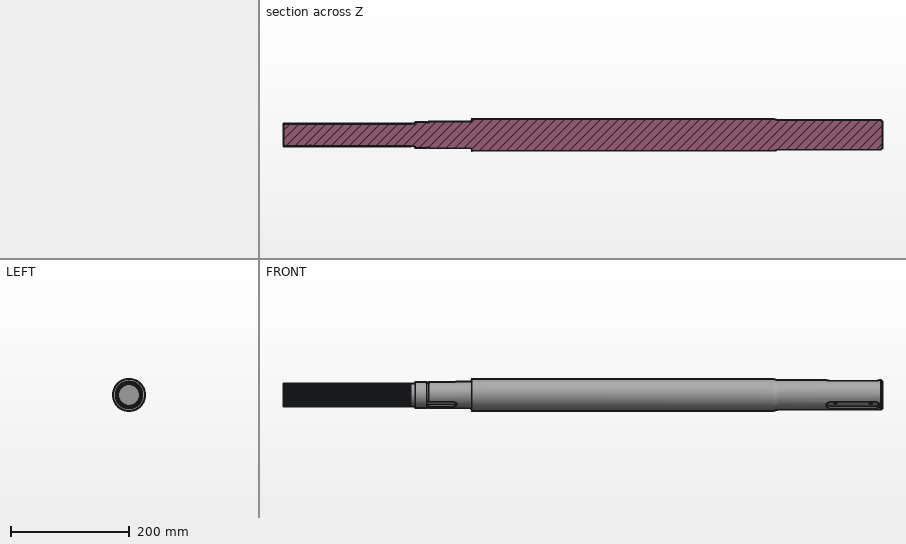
import cadquery as cq
import math

length = 1010.0

thread_diameter = 39.0
thread_root_diameter = 36.0
thread_pitch = 1.5
thread_turns = 142
thread_end = thread_turns * thread_pitch

collar_start = 222.0
collar_diameter = 44.0
groove_start = 241.0
groove_end = 245.0
groove_diameter = 42.0

journal_diameter = 45.0
shoulder_fillet = 2.0
body_start = 317.0
body_end = 825.0
body_diameter = 55.0
cone_end = 833.0
drive_diameter = 50.0
end_chamfer = 3.0

second_key_angle = 135
cutter_height = body_diameter / 2

journal_key_start = groove_start
journal_key_end = 292.0
journal_key_width = 11.0
journal_key_floor = 18.0

collar_slot_width = 4.0
collar_slot_floor = 20.0

drive_key_start = 915.0
drive_key_end = 1005.0
drive_key_width = 15.0
drive_key_floor = 19.0
screw_hole_diameter = 4.9
screw_hole_spacing = 60.0
screw_hole_depth = 10.0


def turned_shaft():
    """Revolve the half outline of the shaft, seen as radius over X."""
    crest = thread_diameter / 2
    root = thread_root_diameter / 2
    collar = collar_diameter / 2
    groove = groove_diameter / 2
    journal = journal_diameter / 2
    body = body_diameter / 2
    drive = drive_diameter / 2
    arc_share = math.sqrt(0.5)

    def fillet_up(outline, x, radius):
        """Run along a cylinder and curve up into the shoulder face at x."""
        return outline.lineTo(x - shoulder_fillet, radius).threePointArc(
            (x - shoulder_fillet * (1 - arc_share), radius + shoulder_fillet * (1 - arc_share)),
            (x, radius + shoulder_fillet),
        )

    outline = cq.Workplane("XY").lineTo(0, root)
    for turn in range(thread_turns):
        outline = outline.lineTo((turn + 0.5) * thread_pitch, crest)
        outline = outline.lineTo((turn + 1) * thread_pitch, root)
    outline = outline.lineTo(thread_end, crest)

    outline = fillet_up(outline, collar_start, crest)
    outline = outline.lineTo(collar_start, collar).lineTo(groove_start, collar)
    outline = outline.lineTo(groove_start, groove).lineTo(groove_end, groove)
    outline = outline.lineTo(groove_end, journal)
    outline = fillet_up(outline, body_start, journal)
    outline = outline.lineTo(body_start, body).lineTo(body_end, body)
    outline = outline.lineTo(cone_end, drive).lineTo(length - end_chamfer, drive)
    outline = outline.lineTo(length, drive - end_chamfer).lineTo(length, 0)
    return outline.close().revolve(360, (0, 0, 0), (1, 0, 0))


def turned_about_axis(shape, angle):
    return shape.rotate((0, 0, 0), (1, 0, 0), angle)


def journal_key_cutter():
    """Keyway with a round end toward the body, open into the retaining groove."""
    center = journal_key_end - journal_key_width / 2
    straight = center - journal_key_start
    floor = cq.Workplane("XY", origin=(center, 0, journal_key_floor))
    slot = floor.center(-straight / 2, 0).rect(straight, journal_key_width).extrude(cutter_height)
    return slot.union(floor.circle(journal_key_width / 2).extrude(cutter_height))


def collar_slot_cutter():
    """Slot through the collar and the fillet in front of it."""
    start = collar_start - shoulder_fillet
    span = groove_start - start
    floor = cq.Workplane("XY", origin=(start + span / 2, 0, collar_slot_floor))
    return floor.rect(span, collar_slot_width).extrude(cutter_height)


def drive_key_cutter():
    """Round-ended keyway with the two screw holes below its floor."""
    center = (drive_key_start + drive_key_end) / 2
    floor = cq.Workplane("XY", origin=(center, 0, drive_key_floor))
    slot = floor.slot2D(drive_key_end - drive_key_start, drive_key_width).extrude(cutter_height)
    hole_places = floor.rarray(screw_hole_spacing, 10, 2, 1)
    holes = hole_places.circle(screw_hole_diameter / 2).extrude(-screw_hole_depth)
    return slot.union(holes)


result = turned_shaft().cut(collar_slot_cutter())
for key_angle in (0, second_key_angle):
    result = result.cut(turned_about_axis(journal_key_cutter(), key_angle))
    result = result.cut(turned_about_axis(drive_key_cutter(), key_angle))